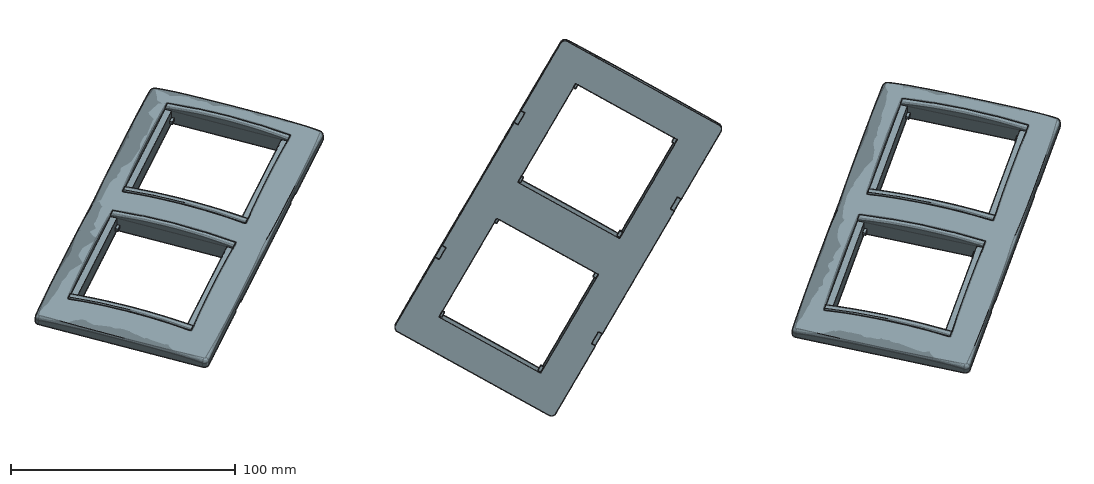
import cadquery as cq
import math

WIDTH = 82.0
LENGTH = 153.0
CELL_PITCH = LENGTH - WIDTH
CORNER_RADIUS = 2.2
RIM_ROUND = 2.0

EDGE_HEIGHT = 3.55
CROWN_RADIUS = 41.2
CROWN_HEIGHT = 10.1
VALLEY_HALF_WIDTH = 5.2
VALLEY_CROWN = 0.55

WINDOW_SIZE = 52.0
LEDGE_HEIGHT = 7.8
RECESS_SIZE = 58.2
RECESS_CORNER_RADIUS = 0.6
LIP_ROUND = 0.4

BEAD_TOP = 11.07
BEAD_END_HEIGHT = 9.1
BEAD_SLOPE_RUN = 0.35
BEAD_OUTER_ROUND = 0.5
BEAD_INNER_ROUND = 0.7

CATCH_REACH = 1.4
CATCH_LENGTH = 2.6
CATCH_THICKNESS = 1.5
CATCH_BOTTOM = 2.2

NOTCH_LENGTH = 6.2
NOTCH_HEIGHT = 1.0
NOTCH_DEPTH = 2.0

HALF_WIDTH = WIDTH / 2
CELL_CENTRE = CELL_PITCH / 2
CELL_CENTRES = (-CELL_CENTRE, CELL_CENTRE)
SIDES = (-1, 1)

ANGLE_STEPS = 24
VALLEY_STEPS = 6
SKIN_TOLERANCE = 0.001


def elliptic(offset):
    """Crown factor of one cell: 1 at its centre, nearly 0 at its edge."""
    return math.sqrt(1 - (offset / CROWN_RADIUS) ** 2)


def crown_along_y(y):
    """Elliptic over each cell, an even quartic through the valley with matching slopes."""
    offset = abs(y) - CELL_CENTRE
    if abs(y) >= VALLEY_HALF_WIDTH:
        return elliptic(offset)
    rim_offset = VALLEY_HALF_WIDTH - CELL_CENTRE
    rim_crown = elliptic(rim_offset)
    rim_slope = -rim_offset / (CROWN_RADIUS ** 2 * rim_crown)
    rise = rim_crown - VALLEY_CROWN
    slope_rise = rim_slope * VALLEY_HALF_WIDTH
    t = y / VALLEY_HALF_WIDTH
    return VALLEY_CROWN + (2 * rise - slope_rise / 2) * t ** 2 + (slope_rise / 2 - rise) * t ** 4


def crown_stations(start, end):
    """Offsets from a cell centre at equal angle steps around the crown."""
    first = math.asin(start / CROWN_RADIUS)
    last = math.asin(end / CROWN_RADIUS)
    return [
        CROWN_RADIUS * math.sin(first + (last - first) * i / ANGLE_STEPS) for i in range(ANGLE_STEPS + 1)
    ]


def skin_stations_y():
    """Y positions for the skin, crowded towards the steep outer ends."""
    upper = [CELL_CENTRE + x for x in crown_stations(VALLEY_HALF_WIDTH - CELL_CENTRE, HALF_WIDTH)]
    valley = [VALLEY_HALF_WIDTH * i / VALLEY_STEPS for i in range(1 - VALLEY_STEPS, VALLEY_STEPS)]
    return [-y for y in reversed(upper)] + valley + upper


def make_skin():
    """Smooth crowned face through a grid of points on the height formula."""
    points = [
        [
            cq.Vector(x, y, EDGE_HEIGHT + CROWN_HEIGHT * elliptic(x) * crown_along_y(y))
            for y in skin_stations_y()
        ]
        for x in crown_stations(-HALF_WIDTH, HALF_WIDTH)
    ]
    return cq.Face.makeSplineApprox(points, tol=SKIN_TOLERANCE, minDeg=3, maxDeg=6)


def make_crowned_block():
    """Solid block under the skin, with rounded corners and rim."""
    drop = 2 * (EDGE_HEIGHT + CROWN_HEIGHT)
    under_skin = cq.Workplane(cq.Solid.extrudeLinear(make_skin(), cq.Vector(0, 0, -drop)))
    outline = (
        cq.Workplane()
        .box(WIDTH, LENGTH, drop, centered=(True, True, False))
        .edges("|Z")
        .fillet(CORNER_RADIUS)
    )
    block = under_skin.intersect(outline)
    return block.faces(">Z").edges().fillet(RIM_ROUND)


def cell_prisms(size, bottom):
    """Square prisms centred on both cells, reaching from `bottom` to above the part."""
    return (
        cq.Workplane("XY", origin=(0, 0, bottom))
        .pushPoints([(0, y) for y in CELL_CENTRES])
        .rect(size, size)
        .extrude(2 * BEAD_TOP)
    )


def round_recess_lips(body):
    """Round the skin where it drops into the recess of each cell."""
    reach = RECESS_SIZE / 2 + LIP_ROUND
    for y in CELL_CENTRES:
        lip = cq.selectors.BoxSelector(
            (-reach, y - reach, LEDGE_HEIGHT + LIP_ROUND / 2), (reach, y + reach, 2 * BEAD_TOP), True
        )
        body = body.edges(lip).fillet(LIP_ROUND)
    return body


def make_bead():
    """Bead filling the recess on the +Y side of a window centred on the origin."""
    inner = WINDOW_SIZE / 2
    end = RECESS_SIZE / 2
    section = (
        cq.Workplane("YZ", origin=(-end, 0, 0))
        .moveTo(inner, LEDGE_HEIGHT)
        .lineTo(end, LEDGE_HEIGHT)
        .lineTo(end, BEAD_TOP)
        .lineTo(inner + BEAD_SLOPE_RUN, BEAD_TOP)
        .close()
        .extrude(2 * end)
    )
    arch = (
        cq.Workplane("XZ")
        .moveTo(-end, 0)
        .lineTo(-end, BEAD_END_HEIGHT)
        .threePointArc((0, BEAD_TOP), (end, BEAD_END_HEIGHT))
        .lineTo(end, 0)
        .close()
        .extrude(-2 * end)
    )
    bead = section.intersect(arch)
    bead = bead.faces(">Y").edges(">Z").fillet(BEAD_OUTER_ROUND)
    return bead.faces("<Y").edges(">Z").fillet(BEAD_INNER_ROUND)


def make_catch():
    """Catch in the +X, +Y corner of a window centred on the origin."""
    corner = WINDOW_SIZE / 2
    return (
        cq.Workplane()
        .box(CATCH_REACH, CATCH_LENGTH, CATCH_THICKNESS, centered=False)
        .translate((corner - CATCH_REACH, corner - CATCH_LENGTH, CATCH_BOTTOM))
    )


def make_notch():
    """Cutter for one pry notch, centred on the side wall plane."""
    return cq.Workplane().box(
        2 * NOTCH_DEPTH, NOTCH_LENGTH, NOTCH_HEIGHT, centered=(True, True, False)
    )


block = make_crowned_block()
recesses = cell_prisms(RECESS_SIZE, LEDGE_HEIGHT).edges("|Z").fillet(RECESS_CORNER_RADIUS)
result = block.cut(recesses)
result = round_recess_lips(result).cut(cell_prisms(WINDOW_SIZE, 0))

for centre in CELL_CENTRES:
    for y_side in SIDES:
        bead = make_bead() if y_side > 0 else make_bead().mirror("XZ")
        result = result.union(bead.translate((0, centre, 0)))
        for x_side in SIDES:
            catch = make_catch() if y_side > 0 else make_catch().mirror("XZ")
            catch = catch if x_side > 0 else catch.mirror("YZ")
            result = result.union(catch.translate((0, centre, 0)))
    for x_side in SIDES:
        result = result.cut(make_notch().translate((x_side * HALF_WIDTH, centre, 0)))